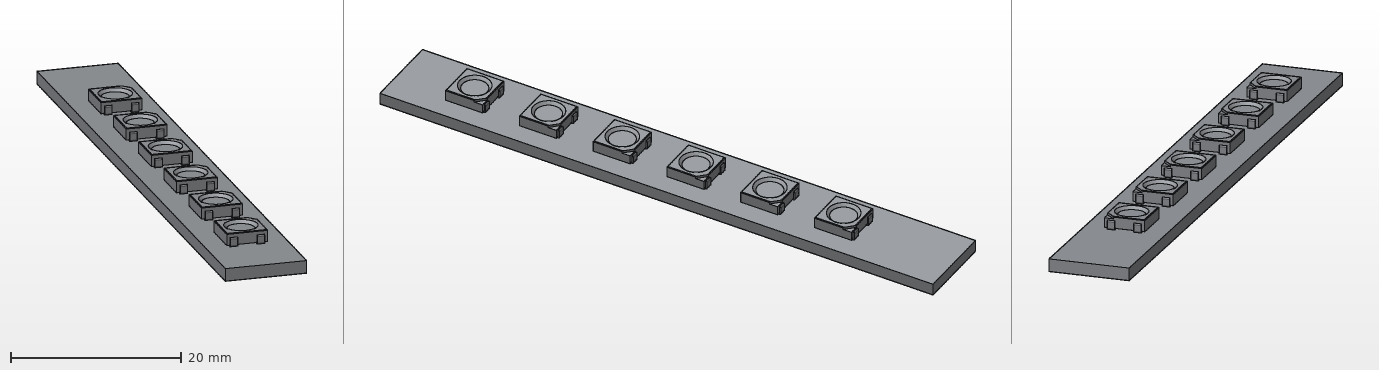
import cadquery as cq

board_length = 75.0
board_width = 10.0
board_thickness = 1.6

lamp_count = 6
first_lamp_from_end = 15.0
last_lamp_from_end = 10.0
lamp_pitch = (board_length - first_lamp_from_end - last_lamp_from_end) / (lamp_count - 1)

overall_height = 3.2
housing_side = 5.0
standoff = 0.19
housing_bottom = board_thickness + standoff
top_chamfer = 0.09

corner_step_leg = 1.1
corner_step_depth = 0.3

bowl_top_diameter = 4.05
bowl_floor_diameter = 3.3
bowl_depth = 0.4

lead_span = 5.4
lead_width = 0.9
lead_offset = 1.65
lead_height = 1.1
lead_embed = 0.2
lead_bend_radius = 0.15


def make_board():
    return cq.Workplane("XY").box(
        board_length, board_width, board_thickness, centered=(True, True, False)
    )


def make_housing_block():
    return (
        cq.Workplane("XY", origin=(0, 0, housing_bottom))
        .box(
            housing_side, housing_side, overall_height - housing_bottom,
            centered=(True, True, False),
        )
        .faces(">Z")
        .chamfer(top_chamfer)
    )


def make_corner_step():
    half = housing_side / 2
    return (
        cq.Workplane("XY", origin=(-half, half, overall_height - corner_step_depth))
        .polyline([(0, 0), (0, -corner_step_leg), (corner_step_leg, 0)])
        .close()
        .extrude(corner_step_depth)
    )


def make_bowl():
    return (
        cq.Workplane("XY", origin=(0, 0, overall_height - bowl_depth))
        .circle(bowl_floor_diameter / 2)
        .workplane(offset=bowl_depth)
        .circle(bowl_top_diameter / 2)
        .loft()
    )


def make_lead():
    """One lead on the +X side, centred on Y = 0, with its outer bends rounded."""
    outer_x = lead_span / 2
    inner_x = housing_side / 2 - lead_embed
    return (
        cq.Workplane("XY", origin=(inner_x, 0, board_thickness))
        .box(outer_x - inner_x, lead_width, lead_height, centered=(False, True, False))
        .faces(">X")
        .edges("|Y")
        .fillet(lead_bend_radius)
    )


def make_lamp():
    lamp = make_housing_block().cut(make_corner_step()).cut(make_bowl())
    for turn in (0, 180):
        for y in (-lead_offset, lead_offset):
            lead = make_lead().translate((0, y, 0))
            lamp = lamp.union(lead.rotate((0, 0, 0), (0, 0, 1), turn))
    return lamp


def make_lamps():
    lamp = make_lamp()
    first_lamp_x = first_lamp_from_end - board_length / 2
    return [
        lamp.translate((first_lamp_x + index * lamp_pitch, 0, 0)).val()
        for index in range(lamp_count)
    ]


board = make_board()
lamps = make_lamps()

result = cq.Compound.makeCompound([board.val(), *lamps])